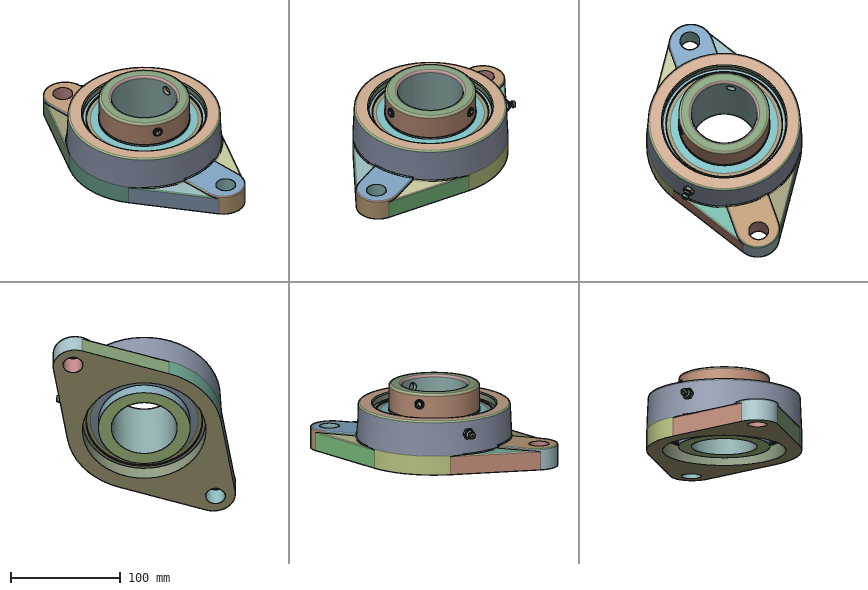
import cadquery as cq
import math

overall_length = 236.0
overall_width = 141.5
hub_base_radius = overall_width / 2
lobe_radius = 20.0
lobe_center_x = overall_length / 2 - lobe_radius
flange_height = 18.0
pad_height = 20.0
edge_fillet = 1.0
bolt_hole_diameter = 18.0
bolt_hole_x = 101.0

hub_top_radius = 69.5
hub_height = 50.3
hub_top_fillet = 1.5
seat_diameter = 112.5
mouth_diameter = 114.7
mouth_chamfer = (mouth_diameter - seat_diameter) / 2

overall_height = 68.7
bearing_center_z = 29.0
outer_ring_width = 30.7
outer_ring_corner = 0.7
outer_ring_bore_diameter = 94.5
outer_ring_bottom = bearing_center_z - outer_ring_width / 2
outer_ring_top = bearing_center_z + outer_ring_width / 2
inner_ring_bottom = 3.5
inner_ring_bore_diameter = 60.0
shoulder_diameter = 83.5
shoulder_top = 45.3
collar_diameter = 82.5
collar_fillet = 2.1

seal_diameter = 105.3
seal_crease_diameter = 98.5
seal_recess = 1.2
seal_lead_in = 0.7
seal_thickness = 2.4
seal_rise = 0.5

screw_diameter = 8.5
screw_z = 58.8
screw_angles = (-30.0, 90.0)
screw_inner_radius = 33.0
screw_outer_radius = 43.0
screw_chamfer = 0.7
socket_across_flats = 5.0
socket_depth = 4.2

nipple_angle = 135.0
nipple_z = 37.3
nipple_stem_diameter = 6.0
nipple_stem_inner = 63.7
nipple_hex_inner = 70.0
nipple_hex_outer = 73.2
nipple_hex_across_flats = 9.0
nipple_base_diameter = 7.5
nipple_base_outer = 74.0
nipple_neck_diameter = 4.7
nipple_neck_start = 75.5
nipple_neck_end = 76.7
nipple_rim_diameter = 6.5
nipple_rim_radius = 77.6
nipple_tip_diameter = 5.5
nipple_tip_radius = 80.0
nipple_mouth_diameter = 1.77
nipple_mouth_depth = 2.0


def disc(bottom, top, diameter):
    """Upright cylinder on the Z axis."""
    return cq.Workplane("XY").workplane(offset=bottom).circle(diameter / 2).extrude(top - bottom)


def arm_prism(height, inset=0.0):
    """Prism of the +X flange arm, with its sides moved inward by the inset."""
    tangent_cos = (hub_base_radius - lobe_radius) / lobe_center_x
    tangent_sin = math.sqrt(1 - tangent_cos**2)
    root_radius = hub_base_radius - inset
    end_radius = lobe_radius - inset
    root_x = root_radius * tangent_cos
    root_y = root_radius * tangent_sin
    lobe_x = lobe_center_x + end_radius * tangent_cos
    lobe_y = end_radius * tangent_sin
    return (
        cq.Workplane("XY")
        .moveTo(root_x, -root_y)
        .lineTo(lobe_x, -lobe_y)
        .threePointArc((lobe_center_x + end_radius, 0), (lobe_x, lobe_y))
        .lineTo(root_x, root_y)
        .close()
        .extrude(height)
    )


def pad_prism(height):
    """Straight bar with round ends that covers both lobes."""
    return cq.Workplane("XY").slot2D(overall_length, 2 * lobe_radius).extrude(height)


def hub_radius_at(z):
    taper = (hub_base_radius - hub_top_radius) / (hub_height - flange_height)
    return hub_base_radius - taper * (z - flange_height)


def hub_foot(level):
    """Drum section with a concave fillet where it meets a flat at the given level."""
    top_radius = hub_radius_at(level + edge_fillet)
    arc_depth = edge_fillet * (1 - math.sqrt(0.5))
    return (
        cq.Workplane("XZ")
        .moveTo(0, 0)
        .lineTo(top_radius + edge_fillet, 0)
        .lineTo(top_radius + edge_fillet, level)
        .threePointArc(
            (top_radius + arc_depth, level + arc_depth),
            (top_radius, level + edge_fillet),
        )
        .lineTo(0, level + edge_fillet)
        .close()
        .revolve(360, (0, 0, 0), (0, 1, 0))
    )


def hub_drum():
    """Round centre of the flange and the tapered hub above it."""
    drum = (
        cq.Workplane("XZ")
        .moveTo(0, 0)
        .lineTo(hub_base_radius, 0)
        .lineTo(hub_base_radius, flange_height)
        .lineTo(hub_top_radius, hub_height)
        .lineTo(0, hub_height)
        .close()
        .revolve(360, (0, 0, 0), (0, 1, 0))
    )
    return drum.faces(">Z").edges().fillet(hub_top_fillet)


def radial_plane(angle, z, radius=0.0):
    """Plane facing outward at the given angle and distance from the Z axis, with local X upward."""
    outward = cq.Vector(math.cos(math.radians(angle)), math.sin(math.radians(angle)), 0)
    return cq.Plane(origin=outward * radius + cq.Vector(0, 0, z), xDir=(0, 0, 1), normal=outward)


def radial_cylinder(angle, z, diameter, inner, outer):
    return cq.Workplane(radial_plane(angle, z, inner)).circle(diameter / 2).extrude(outer - inner)


def make_housing():
    arm = arm_prism(flange_height).faces(">Z").edges("not <X").fillet(edge_fillet)
    arm_foot = hub_foot(flange_height).intersect(arm_prism(hub_height, edge_fillet))
    pads = pad_prism(pad_height).faces(">Z").edges().fillet(edge_fillet)
    pad_foot = hub_foot(pad_height).intersect(pad_prism(hub_height))
    housing = hub_drum().union(arm).union(arm.mirror("YZ")).union(pads).union(pad_foot)
    housing = housing.union(arm_foot).union(arm_foot.mirror("YZ"))

    seat = disc(0, hub_height, seat_diameter)
    mouth = (
        cq.Workplane("XY")
        .workplane(offset=hub_height)
        .circle(mouth_diameter / 2)
        .extrude(-mouth_chamfer, taper=45)
    )
    bolt_holes = (
        cq.Workplane("XY")
        .pushPoints([(-bolt_hole_x, 0), (bolt_hole_x, 0)])
        .circle(bolt_hole_diameter / 2)
        .extrude(pad_height)
    )
    nipple_hole = radial_cylinder(
        nipple_angle, nipple_z, nipple_stem_diameter, nipple_stem_inner, nipple_hex_outer
    )
    return housing.cut(seat).cut(mouth).cut(bolt_holes).cut(nipple_hole)


def make_outer_ring():
    ring = disc(outer_ring_bottom, outer_ring_top, seat_diameter).edges().fillet(outer_ring_corner)
    ring = ring.cut(disc(outer_ring_bottom, outer_ring_top, outer_ring_bore_diameter))
    seat_depth = seal_recess + seal_thickness
    for face_z, inward in ((outer_ring_top, -1), (outer_ring_bottom, 1)):
        face = cq.Workplane("XY").workplane(offset=face_z)
        seal_seat = face.circle(seal_diameter / 2).extrude(inward * seat_depth)
        lead_in = face.circle(seal_diameter / 2 + seal_lead_in).extrude(inward * seal_lead_in, taper=45)
        ring = ring.cut(seal_seat).cut(lead_in)
    return ring


def make_inner_ring():
    shoulder = disc(inner_ring_bottom, shoulder_top, shoulder_diameter)
    collar = disc(shoulder_top, overall_height, collar_diameter)
    bore = disc(inner_ring_bottom, overall_height, inner_ring_bore_diameter)
    ring = shoulder.union(collar).cut(bore)
    ring = ring.faces(">Z").edges().fillet(collar_fillet)
    for angle in screw_angles:
        ring = ring.cut(radial_cylinder(angle, screw_z, screw_diameter, 0, collar_diameter))
    return ring


def make_upper_seal():
    """Flat rim in the outer ring, and a cone that rises to the inner ring."""
    rim_z = outer_ring_top - seal_recess
    bottom_z = rim_z - seal_thickness
    return (
        cq.Workplane("XZ")
        .moveTo(shoulder_diameter / 2, bottom_z)
        .lineTo(seal_diameter / 2, bottom_z)
        .lineTo(seal_diameter / 2, rim_z)
        .lineTo(seal_crease_diameter / 2, rim_z)
        .lineTo(shoulder_diameter / 2, rim_z + seal_rise)
        .close()
        .revolve(360, (0, 0, 0), (0, 1, 0))
    )


def make_set_screw(angle):
    """Headless screw with chamfered ends and a hexagon socket."""
    screw = radial_cylinder(angle, screw_z, screw_diameter, screw_inner_radius, screw_outer_radius)
    screw = screw.edges("%CIRCLE").chamfer(screw_chamfer)
    socket = (
        cq.Workplane(radial_plane(angle, screw_z, screw_outer_radius))
        .polygon(6, socket_across_flats, circumscribed=True)
        .extrude(-socket_depth)
    )
    return screw.cut(socket)


def make_nipple():
    """Stem in the hub, a hexagon against it, and a turned head with a greasing hole."""
    stem = radial_cylinder(
        nipple_angle, nipple_z, nipple_stem_diameter, nipple_stem_inner, nipple_hex_inner
    )
    hexagon = (
        cq.Workplane(radial_plane(nipple_angle, nipple_z, nipple_hex_inner))
        .polygon(6, nipple_hex_across_flats, circumscribed=True)
        .extrude(nipple_hex_outer - nipple_hex_inner)
    )
    axis_plane = radial_plane(nipple_angle, nipple_z)
    outward = axis_plane.zDir
    profile_plane = cq.Plane(
        origin=axis_plane.origin, xDir=outward, normal=outward.cross(axis_plane.xDir)
    )
    head = (
        cq.Workplane(profile_plane)
        .moveTo(nipple_hex_outer, 0)
        .lineTo(nipple_hex_outer, nipple_base_diameter / 2)
        .lineTo(nipple_base_outer, nipple_base_diameter / 2)
        .lineTo(nipple_neck_start, nipple_neck_diameter / 2)
        .lineTo(nipple_neck_end, nipple_neck_diameter / 2)
        .lineTo(nipple_rim_radius, nipple_rim_diameter / 2)
        .lineTo(nipple_tip_radius, nipple_tip_diameter / 2)
        .lineTo(nipple_tip_radius, 0)
        .close()
        .revolve(360, (0, 0, 0), (1, 0, 0))
    )
    mouth = radial_cylinder(
        nipple_angle,
        nipple_z,
        nipple_mouth_diameter,
        nipple_tip_radius - nipple_mouth_depth,
        nipple_tip_radius,
    )
    return stem.union(hexagon).union(head).cut(mouth)


housing = make_housing()
outer_ring = make_outer_ring()
inner_ring = make_inner_ring()
upper_seal = make_upper_seal()
lower_seal = upper_seal.mirror("XY", (0, 0, bearing_center_z))
set_screws = [make_set_screw(angle) for angle in screw_angles]
nipple = make_nipple()

result = cq.Compound.makeCompound(
    [
        housing.val(),
        outer_ring.val(),
        inner_ring.val(),
        upper_seal.val(),
        lower_seal.val(),
        *[screw.val() for screw in set_screws],
        nipple.val(),
    ]
)